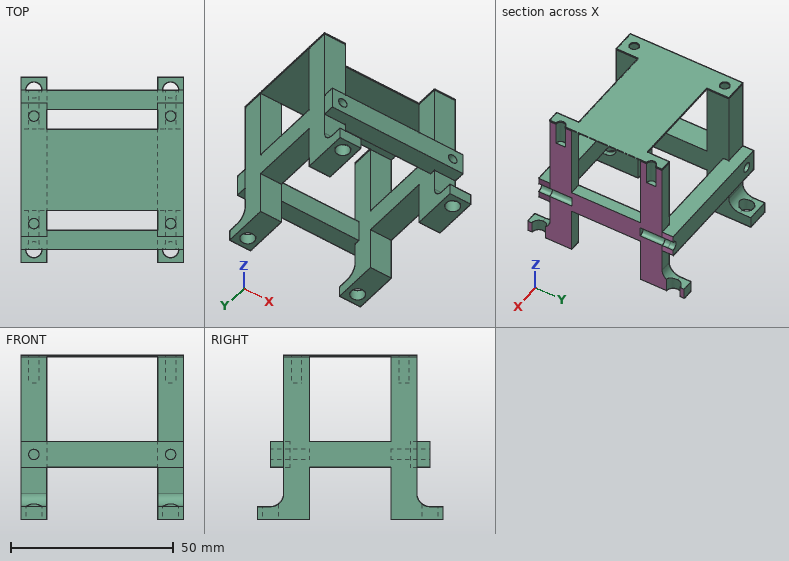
import cadquery as cq

stand_width = 50.0
stand_depth = 41.0
frame_height = 50.0
plate_thickness = 0.5
bar_size = 8.0
beam_bottom = 16.0

foot_length = 8.0
foot_thickness = 4.0
foot_fillet = 4.0
foot_hole_diameter = 4.9

rail_cover = 4.0
rail_tongue = 2.0

screw_diameter = 3.2
screw_depth = 8.0

leg_outer_y = stand_depth / 2
leg_inner_y = leg_outer_y - bar_size
leg_center_x = (stand_width - bar_size) / 2
leg_center_y = (leg_outer_y + leg_inner_y) / 2
inner_width = stand_width - 2 * bar_size
beam_top = beam_bottom + bar_size
beam_center = (beam_bottom + beam_top) / 2
foot_end_y = leg_outer_y + foot_length
foot_hole_y = leg_outer_y + foot_length / 2

SIDES = (-1, 1)


def box(size_x, size_y, size_z, center_x, center_y, bottom):
    """Box centred in X and Y, standing on the height `bottom`."""
    block = cq.Workplane("XY").box(size_x, size_y, size_z, centered=(True, True, False))
    return block.translate((center_x, center_y, bottom))


def leg_with_foot(center_x):
    """Leg on the +Y side: its foot blends into the outer face with a concave fillet."""
    return (
        cq.Workplane("YZ", origin=(center_x, 0, 0))
        .moveTo(leg_inner_y, 0)
        .lineTo(foot_end_y, 0)
        .lineTo(foot_end_y, foot_thickness)
        .lineTo(leg_outer_y + foot_fillet, foot_thickness)
        .radiusArc((leg_outer_y, foot_thickness + foot_fillet), foot_fillet)
        .lineTo(leg_outer_y, frame_height)
        .lineTo(leg_inner_y, frame_height)
        .close()
        .extrude(bar_size / 2, both=True)
    )


def leg_holes(center_x):
    """Foot hole and the two blind screw holes of the leg on the +Y side."""
    foot_hole = (
        cq.Workplane("XY")
        .center(center_x, foot_hole_y)
        .circle(foot_hole_diameter / 2)
        .extrude(foot_thickness + foot_fillet)
    )
    plate_screw = (
        cq.Workplane("XY", origin=(center_x, leg_center_y, frame_height))
        .circle(screw_diameter / 2)
        .extrude(-screw_depth)
    )
    rail_screw = (
        cq.Workplane("XZ", origin=(center_x, leg_outer_y, beam_center))
        .circle(screw_diameter / 2)
        .extrude(screw_depth)
    )
    return foot_hole.union(plate_screw).union(rail_screw)


def make_side_frame(side):
    """H-shaped frame: two legs with feet, joined by a beam along Y."""
    center_x = side * leg_center_x
    leg = leg_with_foot(center_x).cut(leg_holes(center_x))
    beam = box(bar_size, 2 * leg_inner_y, bar_size, center_x, 0, beam_bottom)
    return leg.union(leg.mirror("XZ")).union(beam)


def make_cross_rail(side):
    """Rail across the legs, with a tongue on its inner face that fits between them."""
    cover_y = side * (leg_outer_y + rail_cover / 2)
    tongue_y = side * (leg_outer_y - rail_tongue / 2)
    cover = box(stand_width, rail_cover, bar_size, 0, cover_y, beam_bottom)
    tongue = box(inner_width, rail_tongue, bar_size, 0, tongue_y, beam_bottom)
    screw_holes = (
        cq.Workplane("XZ", origin=(0, cover_y, beam_center))
        .pushPoints([(end * leg_center_x, 0) for end in SIDES])
        .circle(screw_diameter / 2)
        .extrude(rail_cover / 2, both=True)
    )
    return cover.union(tongue).cut(screw_holes)


def make_top_plate():
    """Thin plate with a notch between the legs on each Y side and a screw hole over each leg."""
    plate = box(stand_width, stand_depth, plate_thickness, 0, 0, frame_height)
    for side in SIDES:
        plate = plate.cut(
            box(inner_width, bar_size, plate_thickness, 0, side * leg_center_y, frame_height)
        )
    screw_holes = (
        cq.Workplane("XY", origin=(0, 0, frame_height))
        .rect(2 * leg_center_x, 2 * leg_center_y, forConstruction=True)
        .vertices()
        .circle(screw_diameter / 2)
        .extrude(plate_thickness)
    )
    return plate.cut(screw_holes)


side_frames = [make_side_frame(side) for side in SIDES]
cross_rails = [make_cross_rail(side) for side in SIDES]
top_plate = make_top_plate()

result = cq.Compound.makeCompound(
    [
        *[frame.solids().val() for frame in side_frames],
        *[rail.solids().val() for rail in cross_rails],
        top_plate.solids().val(),
    ]
)